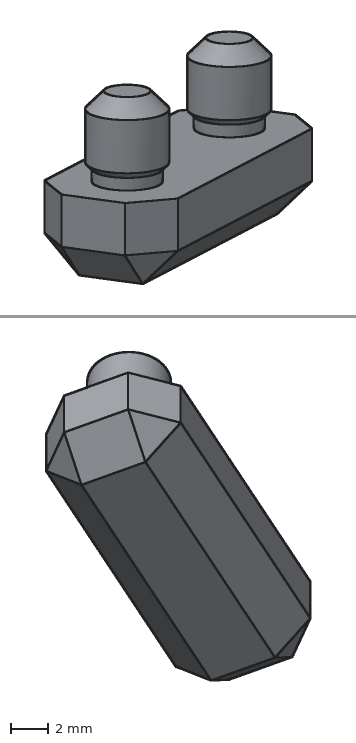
import cadquery as cq

bar_width = 8.0
bar_length = 20.0
bar_height = 5.0
bar_chamfer = 2.1

pin_spacing = 12.0
pin_height = 5.0
neck_diameter = 3.8
head_diameter = 4.5
tip_diameter = 2.5
neck_height = 0.7
tip_height = (head_diameter - tip_diameter) / 2
head_lead_in = (head_diameter - neck_diameter) / 2


def make_bar():
    """Box with its vertical and bottom edges chamfered, leaving triangular facets at the lower corners."""
    box = cq.Workplane("XY").box(bar_width, bar_length, bar_height, centered=(True, True, False))
    return box.edges("|Z or <Z").chamfer(bar_chamfer)


def make_pin():
    """Pin revolved about the Z axis, with its foot at Z = 0."""
    return (
        cq.Workplane("XZ")
        .lineTo(neck_diameter / 2, 0)
        .lineTo(neck_diameter / 2, neck_height)
        .lineTo(head_diameter / 2, neck_height + head_lead_in)
        .lineTo(head_diameter / 2, pin_height - tip_height)
        .lineTo(tip_diameter / 2, pin_height)
        .lineTo(0, pin_height)
        .close()
        .revolve(360, (0, 0, 0), (0, 1, 0))
    )


result = make_bar()
for pin_y in (-pin_spacing / 2, pin_spacing / 2):
    result = result.union(make_pin().translate((0, pin_y, bar_height)))